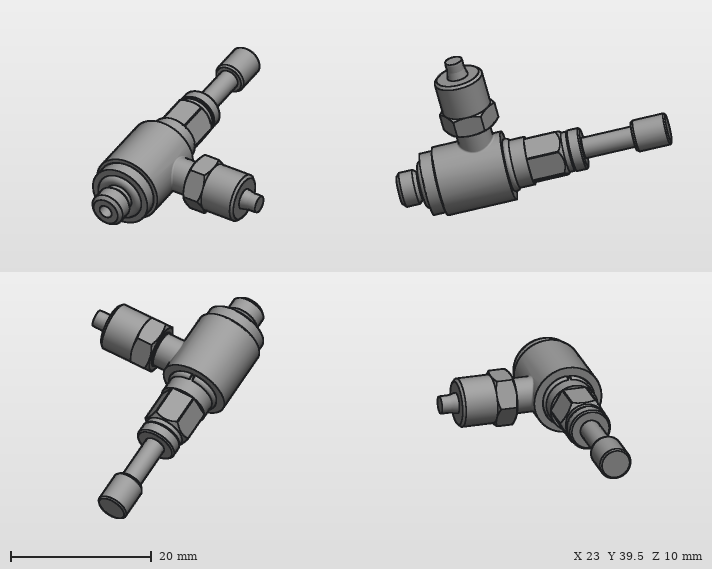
import cadquery as cq
import math


overall_x = 23.0

thread_r = 5.0 / 2
thread_lead = 0.5
thread_end_y = 2.45
neck_r = 2.0
neck_start_y = 3.0
port_r = 1.0
port_depth = 3.95

collar_r = 4.5
collar_start_y = 4.03
collar_chamfer = 0.15
seal_ring_r = 0.75
seal_centre_r = neck_r + seal_ring_r

barrel_r = 7.0 / 2
barrel_end_y = 19.1

clip_ring_r = 0.6
clip_centre_r = 3.25
clip_y = 16.4
clip_gap = 0.45

stem_hex_flats = 6.12
stem_hex_end_y = 24.4

lock_ring_r = 3.0
lock_ring_chamfer = 0.25
lock_ring_start_y = 25.15
lock_ring_end_y = 27.1
lock_base_r = 2.9

rod_r = 1.5
knob_r = 2.3
knob_start_y = 34.45
knob_end_y = 39.5
knob_chamfer = 0.25
knob_inner_chamfer = 0.35

housing_r = 10.0 / 2
housing_start_y = 6.0
housing_end_y = 16.05
arm_y = 12.52
arm_r = 2.53
arm_fillet = 0.25

nut_flats = 7.0
nut_start_x = 7.43
nut_end_x = 10.5
nut_flare = 0.15
nut_face_r = 3.35
nut_chamfer_angle = 30.0

sleeve_r = nut_flats / 2
sleeve_end_x = 15.52
sleeve_chamfer = 0.4

tube_r = 1.25
tube_root_r = 1.5
tube_taper_end_x = 16.63
tube_end_x = overall_x - housing_r
tube_lead = 0.3
tube_tip_r = 1.22


def turned(profile):
    """Revolve (radius, y) points, closed along the axis, about the Y axis."""
    points = [(0, profile[0][1]), *profile, (0, profile[-1][1])]
    return cq.Workplane("XY").polyline(points).close().revolve(360, (0, 0, 0), (0, 1, 0))


def ring(centre_r, section_r, y):
    """Torus about the Y axis."""
    return cq.Workplane("XY").center(centre_r, y).circle(section_r).revolve(
        360, (-centre_r, 0, 0), (-centre_r, 1, 0)
    )


def hexagon(flats, start_y, end_y):
    """Hexagonal bar along Y with two of its corners on the X axis."""
    corner_diameter = flats / math.cos(math.pi / 6)
    bar = cq.Workplane("XZ", origin=(0, start_y, 0)).polygon(6, corner_diameter)
    return bar.extrude(start_y - end_y)


def stem_hexagon():
    """Hexagon with corners trimmed to the barrel and a 45 degree end chamfer."""
    trim = turned([
        (barrel_r, barrel_end_y),
        (barrel_r, stem_hex_end_y - (barrel_r - lock_base_r)),
        (lock_base_r, stem_hex_end_y),
    ])
    return hexagon(stem_hex_flats, barrel_end_y, stem_hex_end_y).intersect(trim)


def retaining_clip():
    """Split ring lying against the end face of the housing, open towards +Z."""
    section_top_y = clip_y + clip_ring_r
    outer_r = clip_centre_r + clip_ring_r
    clip = ring(clip_centre_r, clip_ring_r, clip_y)
    clip = clip.intersect(turned([(outer_r, housing_end_y), (outer_r, section_top_y)]))
    gap = cq.Workplane("XY").box(
        clip_gap, 2 * clip_ring_r, outer_r, centered=(True, True, False)
    )
    return clip.cut(gap.translate((0, clip_y, 0)))


def make_stem():
    stem = turned([
        (thread_r - thread_lead, 0),
        (thread_r, thread_lead),
        (thread_r, thread_end_y),
        (neck_r, neck_start_y),
        (neck_r, collar_start_y),
        (collar_r, collar_start_y),
        (collar_r, housing_start_y - collar_chamfer),
        (collar_r - collar_chamfer, housing_start_y),
        (barrel_r, housing_start_y),
        (barrel_r, barrel_end_y),
        (lock_base_r, barrel_end_y),
        (lock_base_r, lock_ring_start_y),
        (lock_ring_r - lock_ring_chamfer, lock_ring_start_y),
        (lock_ring_r, lock_ring_start_y + lock_ring_chamfer),
        (lock_ring_r, lock_ring_end_y - lock_ring_chamfer),
        (lock_ring_r - lock_ring_chamfer, lock_ring_end_y),
        (rod_r, lock_ring_end_y),
        (rod_r, knob_start_y),
        (knob_r - knob_chamfer, knob_start_y),
        (knob_r, knob_start_y + knob_inner_chamfer),
        (knob_r, knob_end_y - knob_chamfer),
        (knob_r - knob_chamfer, knob_end_y),
    ])
    stem = stem.union(ring(seal_centre_r, seal_ring_r, collar_start_y))
    stem = stem.union(stem_hexagon()).union(retaining_clip())
    return stem.cut(turned([(port_r, 0), (port_r, port_depth)]))


def to_arm(shape):
    """Lay a shape built along +Y onto the fitting axis, pointing to +X."""
    return shape.rotate((0, 0, 0), (0, 0, 1), -90).translate((0, arm_y, 0))


def nut():
    """Hexagon nut with conical chamfers on both faces, corners towards +Y and -Y."""
    corner_r = nut_flats / 2 / math.cos(math.pi / 6)
    chamfer = (corner_r - nut_face_r) * math.tan(math.radians(nut_chamfer_angle))
    trim = turned([
        (nut_face_r, nut_start_x),
        (corner_r, nut_start_x + chamfer),
        (corner_r, nut_end_x - chamfer),
        (nut_face_r, nut_end_x),
    ])
    return hexagon(nut_flats, nut_start_x, nut_end_x).intersect(trim)


def make_housing():
    housing = turned([(housing_r, housing_start_y), (housing_r, housing_end_y)])
    arm = to_arm(turned([(arm_r, 0), (arm_r, nut_start_x)]))
    housing = housing.union(arm)
    saddle = cq.selectors.NearestToPointSelector((housing_r, arm_y, 0))
    housing = housing.edges(saddle).fillet(arm_fillet)
    fitting = turned([
        (arm_r, nut_start_x - nut_flare),
        (arm_r + nut_flare, nut_start_x),
        (sleeve_r, nut_start_x + nut_flare),
        (sleeve_r, sleeve_end_x - sleeve_chamfer),
        (sleeve_r - sleeve_chamfer, sleeve_end_x),
        (tube_root_r, sleeve_end_x),
        (tube_r, tube_taper_end_x),
        (tube_r, tube_end_x - tube_lead),
        (tube_tip_r, tube_end_x),
    ])
    housing = housing.union(to_arm(fitting.union(nut())))
    return housing.cut(turned([(barrel_r, housing_start_y), (barrel_r, housing_end_y)]))


stem = make_stem()
housing = make_housing()
result = cq.Compound.makeCompound([stem.val(), housing.val()])